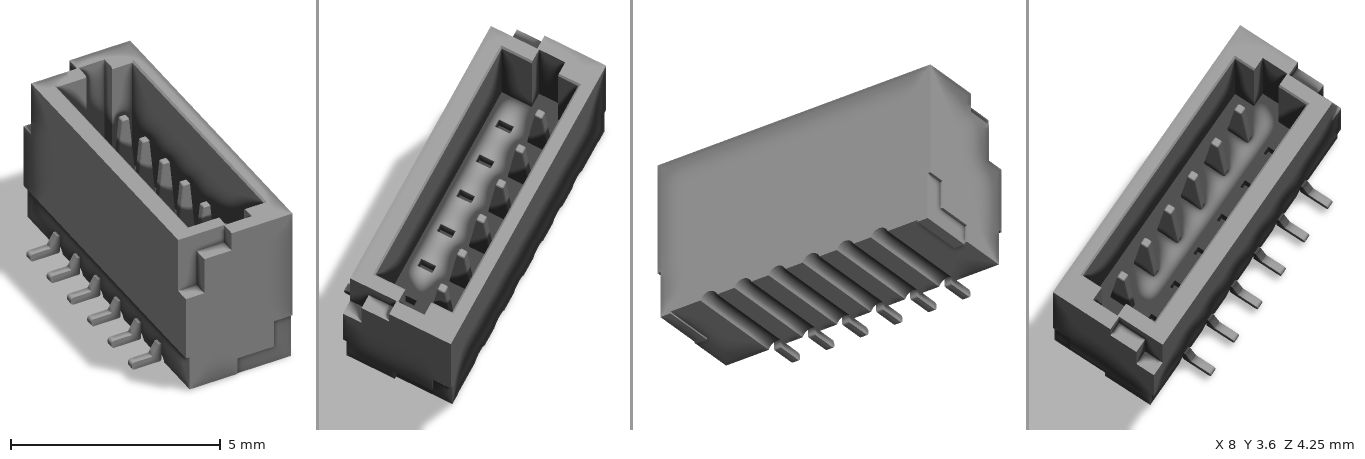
import cadquery as cq


length = 8.0
depth = 2.9
top = 4.25
standoff = 0.05
front_step_height = 1.0
front_step_depth = 0.1

floor = 1.25
cavity_length = 6.5
cavity_front = 0.49
cavity_back = 2.54
rim_chamfer = 0.05

end_notch_depth = 0.38
key_front = 1.3
key_back = 2.0
notch_upper_width = 1.25
notch_upper_depth = 0.5
notch_lower_width = 0.5
notch_lower_depth = 1.5

tab_height = 1.25
tab_width = 0.5
tab_foot_length = 1.5
tab_foot_height = 0.5
tab_recess = 0.08
tab_thickness = 0.3

contact_count = 6
pitch = 1.0
contact_width = 0.2
pin_center = 1.9
pin_top = 3.3
pin_tip_size = 0.2
pin_base_size = 0.6
pin_chamfer = 0.02
slot_front = 0.75
slot_back = 1.15
slot_depth = 0.4

leg_top = 0.5
leg_ledge = 0.07
leg_slope_end = 0.24
leg_thickness = 0.21
leg_length = 0.8
leg_tip_radius = 0.08
leg_heel_radius = 0.05

arch_width = 0.5
arch_rise = 0.17

contact_positions = [(i - (contact_count - 1) / 2) * pitch for i in range(contact_count)]


def box(x_min, x_max, y_min, y_max, z_min, z_max):
    size = (x_max - x_min, y_max - y_min, z_max - z_min)
    return cq.Workplane("XY").box(*size, centered=False).translate((x_min, y_min, z_min))


def side_plate(points, x_start, thickness):
    """Extrude an outline of (y, z) points towards +X from x_start."""
    return cq.Workplane("YZ", origin=(x_start, 0, 0)).polyline(points).close().extrude(thickness)


def both_ends(solid):
    return solid.union(solid.mirror("YZ"))


def housing_block():
    block = box(-length / 2, length / 2, 0, depth, standoff, top)
    step = box(-length / 2, length / 2, 0, front_step_depth, standoff, front_step_height)
    return block.cut(step)


def cavity():
    pocket = box(-cavity_length / 2, cavity_length / 2, cavity_front, cavity_back, floor, top)
    key_reach = length / 2 - end_notch_depth
    keys = box(-key_reach, key_reach, key_front, key_back, floor, top)
    rim = (
        cq.Workplane("XY", origin=(0, (cavity_front + cavity_back) / 2, top))
        .rect(cavity_length + 2 * rim_chamfer, cavity_back - cavity_front + 2 * rim_chamfer)
        .extrude(-rim_chamfer, taper=45)
    )
    return pocket.union(keys).union(rim)


def end_notches():
    outline = [
        (0, top),
        (notch_upper_width, top),
        (notch_upper_width, top - notch_upper_depth),
        (notch_lower_width, top - notch_upper_depth),
        (notch_lower_width, top - notch_lower_depth),
        (0, top - notch_lower_depth),
    ]
    return both_ends(side_plate(outline, -length / 2, end_notch_depth))


def tab_plates(x_start, thickness):
    outline = [
        (depth, 0),
        (depth, tab_height),
        (depth - tab_width, tab_height),
        (depth - tab_width, tab_foot_height),
        (depth - tab_foot_length, tab_foot_height),
        (depth - tab_foot_length, 0),
    ]
    return both_ends(side_plate(outline, x_start, thickness))


def arch(x):
    return (
        cq.Workplane("XZ", origin=(x, 0, standoff))
        .moveTo(-arch_width / 2, 0)
        .threePointArc((0, arch_rise), (arch_width / 2, 0))
        .close()
        .extrude(-depth)
    )


def contact_slot(x):
    half = contact_width / 2
    return box(x - half, x + half, slot_front, slot_back, floor - slot_depth, floor)


def pin(x):
    """Blade that tapers from front to back up to a chamfered tip; its side edges are chamfered too."""
    half_base = pin_base_size / 2
    half_tip = pin_tip_size / 2
    half_flat = half_tip - pin_chamfer
    outline = [
        (pin_center - half_base, floor),
        (pin_center + half_base, floor),
        (pin_center + half_tip, pin_top - pin_chamfer),
        (pin_center + half_flat, pin_top),
        (pin_center - half_flat, pin_top),
        (pin_center - half_tip, pin_top - pin_chamfer),
    ]
    blade = side_plate(outline, x - contact_width / 2, contact_width)
    return blade.faces("<X or >X").edges("not <Z").chamfer(pin_chamfer)


def leg(x):
    root = front_step_depth
    tip = root - leg_length
    outline = [
        (root, 0),
        (root, leg_top),
        (root - leg_ledge, leg_top),
        (root - leg_slope_end, leg_thickness),
        (tip, leg_thickness),
        (tip, 0),
    ]
    bent = side_plate(outline, x - contact_width / 2, contact_width)
    bent = bent.faces("<Y").edges("|X").fillet(leg_tip_radius)
    return bent.faces(">Y").edges("<Z").fillet(leg_heel_radius)


result = housing_block().cut(cavity()).cut(end_notches())
result = result.cut(tab_plates(-length / 2, tab_recess + tab_thickness))
result = result.union(tab_plates(-length / 2 + tab_recess, tab_thickness))
for x in contact_positions:
    result = result.cut(arch(x)).cut(contact_slot(x))
    result = result.union(pin(x)).union(leg(x))